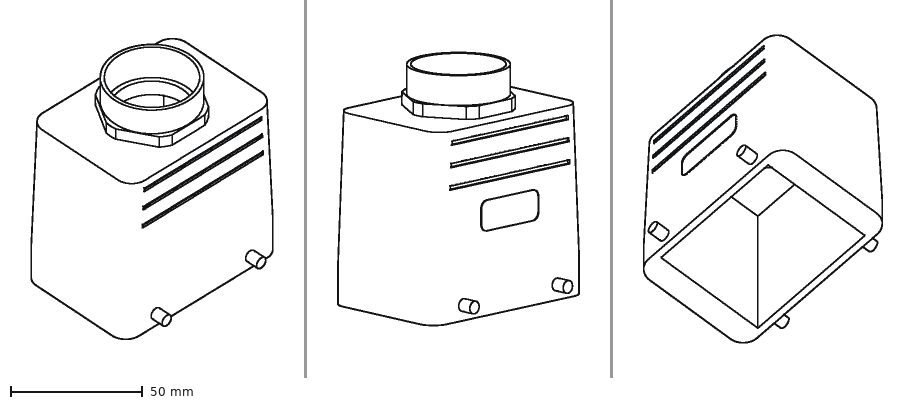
import cadquery as cq

total_height = 91.5
pin_span = 68.0

body_width = 56.0
body_length = 82.0
top_length = 75.8
body_height = 74.85
straight_height = 15.0
corner_radius = 7.2

side_wall = 3.0
roof = 5.0
cavity_length = 60.2
cavity_width = body_width - 2 * side_wall
cavity_height = body_height - roof

hex_across_flats = 40.0
hex_corner_diameter = 43.55
hex_height = 5.0
collar_diameter = 39.4
bore_diameter = 36.2
entry_diameter = 32.0
bore_floor_above_body = 1.65

pin_diameter = 4.9
pin_spacing = 49.8
pin_z = 6.1

groove_count = 3
groove_height = 1.6
groove_pitch = 8.7
groove_depth = 1.0
first_groove_drop = 3.8

panel_length = 30.5
panel_height = 12.0
panel_radius = 3.0
panel_depth = 0.4
panel_z = 39.0


def tapered_prism(inset):
    """Full-width prism with ends leaning inward above the straight base; inset shifts both ends in."""
    base_half = body_length / 2 - inset
    top_half = top_length / 2 - inset
    outline = [
        (-base_half, 0),
        (base_half, 0),
        (base_half, straight_height),
        (top_half, body_height),
        (-top_half, body_height),
        (-base_half, straight_height),
    ]
    return cq.Workplane("YZ").polyline(outline).close().extrude(body_width / 2, both=True)


def hood():
    """Tapered shell, rounded along its upright corners, around a straight-sided rectangular cavity."""
    outside = tapered_prism(inset=0)
    outside = outside.edges("not(|X or |Y)").fillet(corner_radius)
    cavity = cq.Workplane("XY").rect(cavity_width, cavity_length).extrude(cavity_height)
    return outside.cut(cavity)


def cut_grooves(body):
    """Cut horizontal grooves that end where the rounded corners begin."""
    field = tapered_prism(inset=corner_radius)
    floor_width = body_width - 2 * groove_depth
    for index in range(groove_count):
        top = body_height - first_groove_drop - index * groove_pitch
        middle = top - groove_height / 2
        band = cq.Workplane("XY").box(body_width, body_length, groove_height)
        core = cq.Workplane("XY").box(floor_width, body_length, groove_height)
        groove = band.cut(core).translate((0, 0, middle)).intersect(field)
        body = body.cut(groove)
    return body


def label_panel():
    """Rounded plate straddling the -X face; cutting it away leaves the shallow panel recess."""
    return (
        cq.Workplane("XY")
        .box(2 * panel_depth, panel_length, panel_height)
        .edges("|X")
        .fillet(panel_radius)
        .translate((-body_width / 2, 0, panel_z))
    )


def locking_pins():
    """Four pins that stick out of the long sides and start flush with the inner wall faces."""
    inner_face = cavity_width / 2
    pin_length = pin_span / 2 - inner_face
    pins = cq.Workplane("YZ", origin=(inner_face, 0, pin_z))
    pins = pins.pushPoints([(-pin_spacing / 2, 0), (pin_spacing / 2, 0)])
    pins = pins.circle(pin_diameter / 2).extrude(pin_length)
    return pins.union(pins.mirror("YZ"))


def cable_entry():
    """Hexagon flange with turned-off corners, two flats facing +X and -X, carrying the round collar."""
    flange = cq.Workplane("XY").circle(hex_corner_diameter / 2).extrude(hex_height)
    hexagon = cq.Workplane("XY").polygon(6, hex_across_flats, circumscribed=True).extrude(hex_height)
    collar = cq.Workplane("XY").circle(collar_diameter / 2).extrude(total_height - body_height)
    return flange.intersect(hexagon).union(collar).translate((0, 0, body_height))


def drill_entry(body):
    """Bore the collar down to a ledge, then open a smaller hole through the roof into the cavity."""
    bore_floor = body_height + bore_floor_above_body
    bore = (
        cq.Workplane("XY", origin=(0, 0, bore_floor))
        .circle(bore_diameter / 2)
        .extrude(total_height - bore_floor)
    )
    hole = cq.Workplane("XY").circle(entry_diameter / 2).extrude(total_height)
    return body.cut(bore).cut(hole)


result = cut_grooves(hood())
result = result.cut(label_panel())
result = result.union(locking_pins()).union(cable_entry())
result = drill_entry(result)